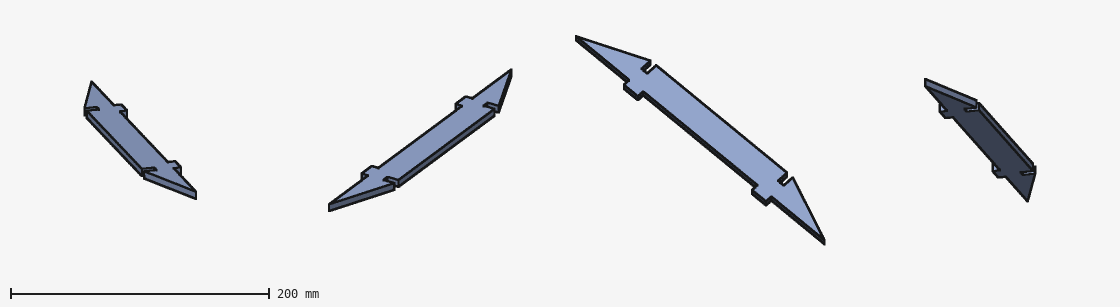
import cadquery as cq

length = 266.0
thickness = 6.0
body_depth = 24.0
tip_length = 57.0
tab_width = 15.0
tab_height = 6.0
slot_width = thickness
slot_depth = 10.0

half_length = length / 2
shoulder_x = half_length - tip_length


def make_body():
    """Flat bar with straight back edge and a pointed end on each side."""
    return (
        cq.Workplane("XY")
        .polyline([
            (-half_length, body_depth),
            (half_length, body_depth),
            (shoulder_x, 0),
            (-shoulder_x, 0),
        ])
        .close()
        .extrude(thickness)
    )


def make_block(side, width, depth, start_y):
    """Block reaching inward from the shoulder on one side (-1 left, +1 right)."""
    center_x = side * (shoulder_x - width / 2)
    return (
        cq.Workplane("XY")
        .center(center_x, start_y + depth / 2)
        .rect(width, depth)
        .extrude(thickness)
    )


result = make_body()
for side in (-1, 1):
    tab = make_block(side, tab_width, tab_height, body_depth)
    slot = make_block(side, slot_width, slot_depth, 0)
    result = result.union(tab).cut(slot)